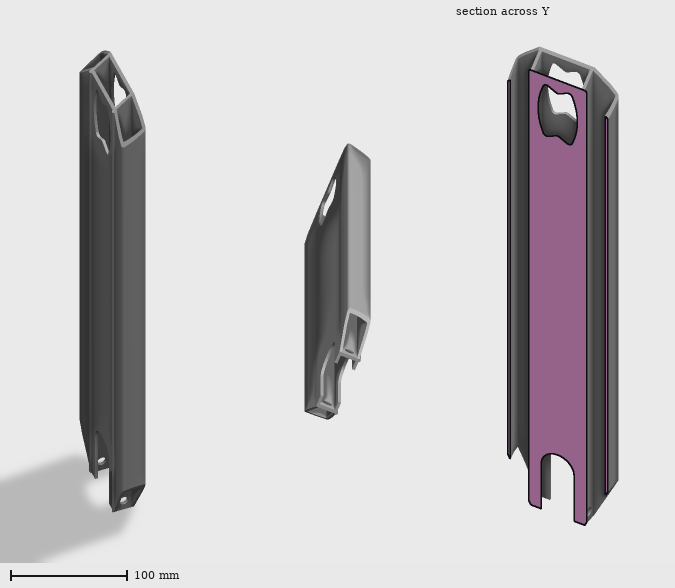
import cadquery as cq
import math

LENGTH = 509.0
WIDTH = 102.5
DEPTH = 22.0

WALL = 2.5
WEB_THICKNESS = 3.0
PLATE_RECESS = 1.5
WEB_OUTER_X = 27.0
RIDGE_INNER_X = 24.0
RIDGE_OUTER_X = 28.0
RIDGE_HEIGHT = 1.25
PAD_INNER_X = 42.0
FRONT_HALF_WIDTH = 49.5
SIDE_BEND_Y = 4.5
SIDE_BEND_RADIUS = 68.5
CORNER_RADIUS = 2.5

TOP_TILT = 40.0
TOP_HALF_WIDTH = 27.5
TOP_SHOULDER_DROP = 24.0

BOTTOM_HALF_WIDTH = 27.0
TAPER_HEIGHT = 50.5
SLOT_WIDTH = 32.0
SLOT_HEIGHT = 68.0
PIN_DIAMETER = 8.5
PIN_Z = 10.5

WINDOW_Z = 455.5
WINDOW_RISE = 14.0
WINDOW_HALF_WIDTH = 19.5
WINDOW_LOBE_X = 12.5
WINDOW_LOBE_Z = 30.0
WINDOW_NOTCH_Z = 23.5
WINDOW_FILLET = 3.5

HALF_WIDTH = WIDTH / 2
HALF_DEPTH = DEPTH / 2
PLATE_Y = HALF_DEPTH - PLATE_RECESS
SLOPE = math.tan(math.radians(TOP_TILT))
CUT_REACH = DEPTH


def mirrored(points):
    """Close a right-hand half outline with its mirror image across X = 0."""
    return points + [(-x, y) for x, y in reversed(points)]


def sheared_prism(wire):
    """Sweep an outline in the XZ plane along the slant of the top end."""
    start = wire.translate(cq.Vector(0, -CUT_REACH, -CUT_REACH * SLOPE))
    sweep = cq.Vector(0, 2 * CUT_REACH, 2 * CUT_REACH * SLOPE)
    return cq.Workplane(obj=cq.Solid.extrudeLinear(start, [], sweep))


def half_body():
    """Solid right half of the extrusion, before it is hollowed."""
    ridge_middle_x = (RIDGE_INNER_X + RIDGE_OUTER_X) / 2
    body = (
        cq.Workplane("XY")
        .moveTo(0, -PLATE_Y)
        .lineTo(RIDGE_INNER_X, -PLATE_Y)
        .threePointArc((ridge_middle_x, -PLATE_Y - RIDGE_HEIGHT), (RIDGE_OUTER_X, -PLATE_Y))
        .lineTo(PAD_INNER_X, -HALF_DEPTH)
        .lineTo(FRONT_HALF_WIDTH, -HALF_DEPTH)
        .radiusArc((HALF_WIDTH, SIDE_BEND_Y), -SIDE_BEND_RADIUS)
        .lineTo(HALF_WIDTH, HALF_DEPTH)
        .lineTo(PAD_INNER_X, HALF_DEPTH)
        .lineTo(RIDGE_OUTER_X, PLATE_Y)
        .lineTo(0, PLATE_Y)
        .close()
        .extrude(LENGTH)
    )
    for corner in ((FRONT_HALF_WIDTH, -HALF_DEPTH), (HALF_WIDTH, HALF_DEPTH)):
        at_corner = cq.selectors.NearestToPointSelector((*corner, LENGTH / 2))
        body = body.edges("|Z").edges(at_corner).fillet(CORNER_RADIUS)
    return body


def half_centre_chamber():
    width = WEB_OUTER_X - WEB_THICKNESS
    depth = 2 * (PLATE_Y - WALL)
    return cq.Workplane("XY").center(width / 2, 0).rect(width, depth).extrude(LENGTH)


def side_chamber():
    """Hollow between the web and the outer side, one wall inside the outer faces."""
    return (
        cq.Workplane("XY")
        .moveTo(WEB_OUTER_X, -PLATE_Y + WALL)
        .lineTo(PAD_INNER_X, -HALF_DEPTH + WALL)
        .lineTo(FRONT_HALF_WIDTH - WALL, -HALF_DEPTH + WALL)
        .radiusArc((HALF_WIDTH - WALL, SIDE_BEND_Y), -(SIDE_BEND_RADIUS - WALL))
        .lineTo(HALF_WIDTH - WALL, HALF_DEPTH - WALL)
        .lineTo(PAD_INNER_X, HALF_DEPTH - WALL)
        .lineTo(WEB_OUTER_X, PLATE_Y - WALL)
        .close()
        .extrude(LENGTH)
    )


def tube():
    half = half_body().cut(half_centre_chamber()).cut(side_chamber())
    return half.union(half.mirror("YZ")).clean()


def top_envelope():
    """Space kept below the slanted, shouldered top end."""
    top_z = LENGTH - PLATE_Y * SLOPE
    shoulder_z = top_z - TOP_SHOULDER_DROP
    outline = mirrored([
        (HALF_WIDTH, -LENGTH),
        (HALF_WIDTH, shoulder_z),
        (TOP_HALF_WIDTH, top_z),
    ])
    corners = [cq.Vector(x, 0, z) for x, z in outline]
    return sheared_prism(cq.Wire.makePolygon(corners, close=True))


def bottom_corner(side):
    outline = [(BOTTOM_HALF_WIDTH, 0), (HALF_WIDTH, TAPER_HEIGHT), (HALF_WIDTH, 0)]
    points = [(side * x, z) for x, z in outline]
    return cq.Workplane("XZ").polyline(points).close().extrude(CUT_REACH, both=True)


def slot():
    arch_z = SLOT_HEIGHT - SLOT_WIDTH / 2
    straight = cq.Workplane("XZ").center(0, arch_z / 2).rect(SLOT_WIDTH, arch_z)
    arch = cq.Workplane("XZ").center(0, arch_z).circle(SLOT_WIDTH / 2)
    return straight.extrude(CUT_REACH, both=True).union(arch.extrude(CUT_REACH, both=True))


def window():
    """Straight openings through the front half and, higher up, the back half."""
    outline = (
        cq.Workplane("XZ")
        .center(0, WINDOW_Z)
        .moveTo(-WINDOW_LOBE_X, WINDOW_LOBE_Z)
        .lineTo(0, WINDOW_NOTCH_Z)
        .lineTo(WINDOW_LOBE_X, WINDOW_LOBE_Z)
        .threePointArc((WINDOW_HALF_WIDTH, 0), (WINDOW_LOBE_X, -WINDOW_LOBE_Z))
        .lineTo(0, -WINDOW_NOTCH_Z)
        .lineTo(-WINDOW_LOBE_X, -WINDOW_LOBE_Z)
        .threePointArc((-WINDOW_HALF_WIDTH, 0), (-WINDOW_LOBE_X, WINDOW_LOBE_Z))
        .close()
    )
    front = outline.extrude(CUT_REACH).edges("|Y").fillet(WINDOW_FILLET)
    return front.union(front.translate((0, CUT_REACH, WINDOW_RISE)))


def pin_hole():
    return cq.Workplane("YZ").center(0, PIN_Z).circle(PIN_DIAMETER / 2).extrude(WIDTH, both=True)


result = (
    tube()
    .intersect(top_envelope())
    .cut(bottom_corner(1))
    .cut(bottom_corner(-1))
    .cut(slot())
    .cut(window())
    .cut(pin_hole())
)